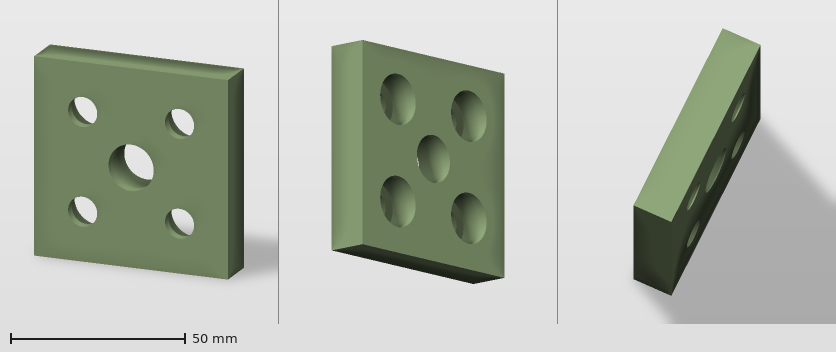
import cadquery as cq

side = 60
thickness = 12

center_hole_diameter = 14.0

bolt_hole_diameter = 9
bolt_spacing = side / 2
counterbore_diameter = 15
bolt_seat_thickness = 3
counterbore_depth = thickness - bolt_seat_thickness

plate = cq.Workplane("XZ").rect(side, side).extrude(thickness / 2, both=True)

plate = plate.faces(">Y").workplane(centerOption="CenterOfBoundBox").hole(center_hole_diameter)

result = (
    plate.faces(">Y")
    .workplane(centerOption="CenterOfBoundBox")
    .rect(bolt_spacing, bolt_spacing, forConstruction=True)
    .vertices()
    .cboreHole(bolt_hole_diameter, counterbore_diameter, counterbore_depth)
)